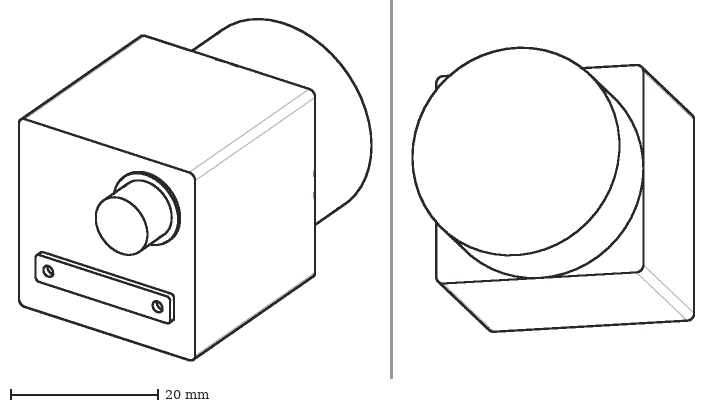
import cadquery as cq

overall_length = 48.9
body_side = 29.0
body_length = 28.95
body_corner_radius = 1.0
lens_mount_diameter = body_side
lens_mount_length = 13.6

connector_x = 6.75
connector_z = 7.0
connector_diameter = 8.5
connector_length = overall_length - body_length - lens_mount_length
flange_diameter = 10.6
flange_thickness = 0.5

plate_width = 22.15
plate_height = 4.15
plate_thickness = 1.0
plate_corner_radius = 0.6
plate_z = -7.2
hole_diameter = 1.6
hole_spacing = 18.0


def rear_face(x=0, z=0):
    """Workplane on the rear body face (Y = 0), extruding outward along -Y."""
    return cq.Workplane("XZ", origin=(x, 0, z))


def make_body():
    body = rear_face().rect(body_side, body_side).extrude(-body_length)
    return body.edges("|Y").fillet(body_corner_radius)


def make_lens_mount():
    front_face = rear_face().workplane(offset=-body_length)
    return front_face.circle(lens_mount_diameter / 2).extrude(-lens_mount_length)


def make_connector():
    base = rear_face(connector_x, connector_z)
    flange = base.circle(flange_diameter / 2).extrude(flange_thickness)
    barrel = base.circle(connector_diameter / 2).extrude(connector_length)
    return flange.union(barrel)


def make_plate():
    plate = rear_face(z=plate_z).rect(plate_width, plate_height).extrude(plate_thickness)
    plate = plate.edges("|Y").fillet(plate_corner_radius)
    holes = (
        rear_face(z=plate_z)
        .pushPoints([(-hole_spacing / 2, 0), (hole_spacing / 2, 0)])
        .circle(hole_diameter / 2)
        .extrude(plate_thickness)
    )
    return plate.cut(holes)


result = make_body().union(make_lens_mount()).union(make_connector()).union(make_plate())